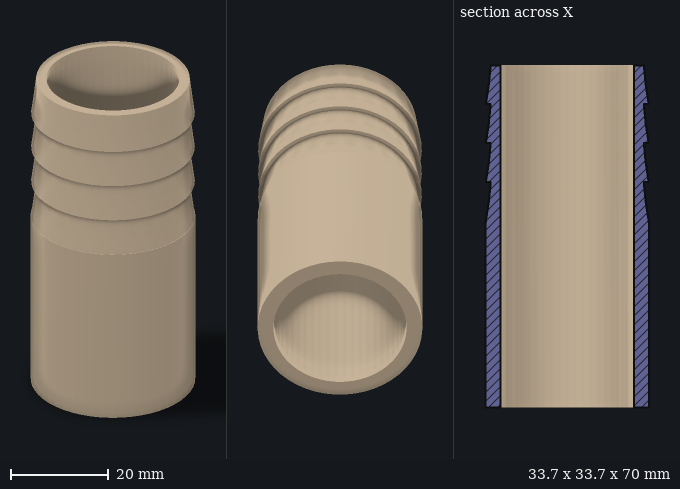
import cadquery as cq

total_height = 70.0
pipe_diameter = 33.7
bore_diameter = 27.2
barb_count = 4
barb_pitch = 8.0
barb_base_diameter = 33.45
barb_tip_diameter = 31.4

pipe_height = total_height - barb_count * barb_pitch


def hose_tail_profile():
    """Half section in the XZ plane, from the bore wall to the outer surface."""
    bore_radius = bore_diameter / 2
    pipe_radius = pipe_diameter / 2
    points = [(bore_radius, 0), (pipe_radius, 0), (pipe_radius, pipe_height)]
    for barb in range(barb_count):
        barb_bottom = pipe_height + barb * barb_pitch
        points.append((barb_base_diameter / 2, barb_bottom))
        points.append((barb_tip_diameter / 2, barb_bottom + barb_pitch))
    points.append((bore_radius, total_height))
    return cq.Workplane("XZ").polyline(points).close()


result = hose_tail_profile().revolve(360, (0, 0, 0), (0, 1, 0))